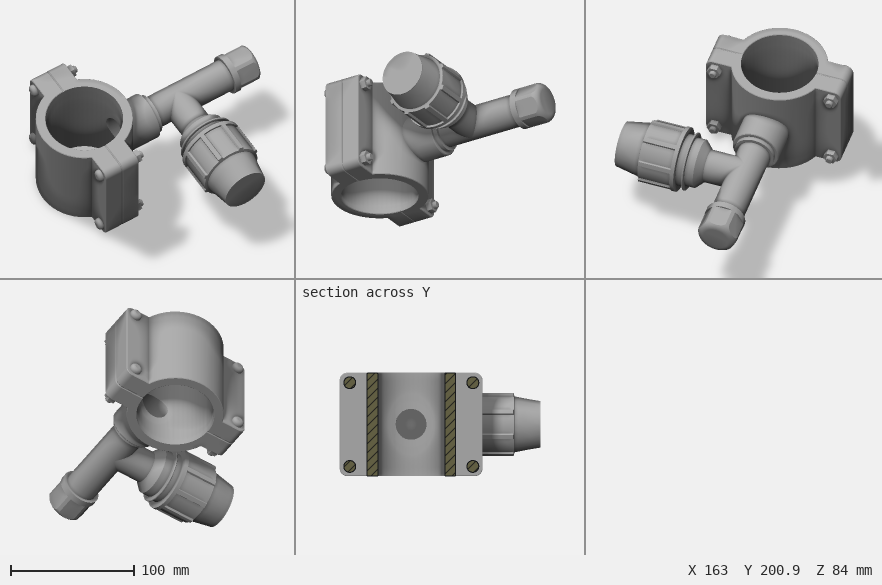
import cadquery as cq
import math

clamp_height = 84.0
bore_radius = 31.5
ring_radius = 39.5
clamp_width = 116.0
lug_half_depth = 15.75
lug_corner_radius = 6.0
edge_break = 0.5
joint_gap = 0.6

bolt_x = 50.0
bolt_z = 34.0
bolt_diameter = 6.0
bolt_end_y = 23.7
bolt_end_chamfer = 0.6
bolt_head_diameter = 10.0
bolt_head_rim = 0.9
bolt_head_height = 4.1
bolt_head_flat_radius = 2.3
nut_across_flats = 10.0
nut_height = 4.8

saddle_diameter = 39.38
saddle_end_y = 60.9
saddle_chamfer = 0.6
outlet_diameter = 25.0
collar_diameter = 33.32
collar_end_y = 64.4
pipe_diameter = 27.26
cap_start_y = 135.3
cap_hex_start_y = 140.5
cap_end_y = 161.38
cap_across_flats = 30.29
cap_edge_radius = 6.0

branch_y = 88.35
cone_start_x = 31.1
body_diameter = 40.5
body_start_x = 37.7
stop_ring_diameter = 48.6
stop_ring_start_x = 45.0
stop_ring_end_x = 46.5
stop_ring_chamfer = 0.4
neck_diameter = 43.2
nut_flange_diameter = 54.0
nut_flange_start_x = 52.2
nut_flange_end_x = 55.5
nut_grip_diameter = 50.4
nut_grip_end_x = 83.0
nut_cone_start_x = 84.0
nut_cone_diameter = 45.6
nut_tip_diameter = 38.0
nut_tip_land = 0.6
branch_end_x = 105.0
grip_rib_count = 8
grip_rib_width = 2.8
grip_rib_base_width = 4.6


def along_y(x, y, z):
    """Workplane at (x, y, z) whose normal is +Y."""
    return cq.Workplane(cq.Plane(origin=(x, y, z), xDir=(1, 0, 0), normal=(0, 1, 0)))


def along_x(x):
    """Workplane on the branch axis whose normal is +X."""
    return cq.Workplane(cq.Plane(origin=(x, branch_y, 0), xDir=(0, 1, 0), normal=(1, 0, 0)))


def clamp_bore(rim_break=0):
    """Through bore of the clamp along Z, flared at both rims when rim_break is positive."""
    half_height = clamp_height / 2
    bore = cq.Workplane("XY").circle(bore_radius).extrude(half_height, both=True)
    if rim_break > 0:
        rim_radius = bore_radius + rim_break
        flare = cq.Solid.makeCone(bore_radius, rim_radius, rim_break, cq.Vector(0, 0, half_height - rim_break))
        bore = bore.union(flare).union(flare.mirror("XY"))
    return bore


def clamp_half(side):
    """Half ring with its two lugs, on the +Y (side=1) or -Y (side=-1) side of the joint."""
    lugs = (
        cq.Workplane("XY")
        .box(clamp_width, 2 * lug_half_depth, clamp_height)
        .edges("|Y")
        .fillet(lug_corner_radius)
    )
    ring = cq.Workplane("XY").circle(ring_radius).extrude(clamp_height / 2, both=True)
    keep = (
        cq.Workplane("XY")
        .box(2 * clamp_width, 2 * ring_radius, 2 * clamp_height)
        .translate((0, side * (ring_radius + joint_gap / 2), 0))
    )
    half = lugs.union(ring).intersect(keep)
    joint_direction = "<Y" if side > 0 else ">Y"
    half = half.faces(joint_direction).chamfer(edge_break)
    half = half.edges(outer_clamp_edges(side)).chamfer(edge_break)
    rim_break = edge_break if side < 0 else 0
    return half.cut(clamp_bore(rim_break))


def outer_clamp_edges(side):
    """Box selector for the rims of the ring and the edges of the lug faces away from the joint."""
    reach = 2 * clamp_width
    near_y = side * (lug_half_depth - edge_break)
    far_y = side * (ring_radius + edge_break)
    outer_edges = cq.selectors.BoxSelector((-reach, near_y, -reach), (reach, far_y, reach))
    inner_corners = cq.selectors.BoxSelector(
        (-ring_radius, near_y, -edge_break), (ring_radius, far_y, edge_break)
    )
    return outer_edges - inner_corners


def joint_core():
    """Thin core that fills the joint, set back to the foot of the edge breaks."""
    core_width = clamp_width - 2 * edge_break
    core_height = clamp_height - 2 * edge_break
    core = (
        cq.Workplane("XY")
        .box(core_width, joint_gap, core_height)
        .edges("|Y")
        .fillet(lug_corner_radius - edge_break)
    )
    return core.cut(clamp_bore())


def clamp():
    """Both clamp halves joined across the core."""
    return clamp_half(1).union(joint_core()).union(clamp_half(-1))


def clamp_bolt(x, z):
    """Dome-head bolt with its head on the -Y side and a hexagonal nut on the +Y side."""
    head_end_y = -lug_half_depth - bolt_head_height
    shank = (
        along_y(x, -lug_half_depth, z)
        .circle(bolt_diameter / 2)
        .extrude(bolt_end_y + lug_half_depth)
        .faces(">Y")
        .chamfer(bolt_end_chamfer)
    )
    head_radius = bolt_head_diameter / 2
    crown_height = bolt_head_height - bolt_head_rim
    rim_y = -lug_half_depth - bolt_head_rim
    crown_width = head_radius - bolt_head_flat_radius
    crown_mid_radius = bolt_head_flat_radius + crown_width * math.sqrt(0.5)
    crown_mid_y = rim_y - crown_height * math.sqrt(0.5)
    head = (
        cq.Workplane("XY")
        .moveTo(0, -lug_half_depth)
        .lineTo(head_radius, -lug_half_depth)
        .lineTo(head_radius, rim_y)
        .threePointArc((crown_mid_radius, crown_mid_y), (bolt_head_flat_radius, head_end_y))
        .lineTo(0, head_end_y)
        .close()
        .revolve(360, (0, 0, 0), (0, 1, 0))
        .translate((x, 0, z))
    )
    nut_across_corners = nut_across_flats / math.cos(math.pi / 6)
    nut = along_y(x, lug_half_depth, z).polygon(6, nut_across_corners).extrude(nut_height)
    return shank.union(head).union(nut)


def run_pipe():
    """Saddle, collar and pipe on one axis along +Y."""
    saddle = along_y(0, 0, 0).circle(saddle_diameter / 2).extrude(saddle_end_y)
    saddle = saddle.faces(">Y").chamfer(saddle_chamfer)
    collar = along_y(0, 0, 0).circle(collar_diameter / 2).extrude(collar_end_y)
    pipe = along_y(0, 0, 0).circle(pipe_diameter / 2).extrude(cap_start_y)
    return saddle.union(collar).union(pipe)


def end_cap():
    """Round cap with a rounded end, trimmed to a hexagon beyond its rim."""
    cap = (
        along_y(0, cap_start_y, 0)
        .circle(collar_diameter / 2)
        .extrude(cap_end_y - cap_start_y)
        .faces(">Y")
        .edges()
        .fillet(cap_edge_radius)
    )
    hex_length = cap_end_y - cap_hex_start_y
    across_corners = cap_across_flats / math.cos(math.pi / 6)
    trim = (
        along_y(0, cap_hex_start_y, 0)
        .circle(collar_diameter)
        .polygon(6, across_corners)
        .extrude(hex_length)
    )
    return cap.cut(trim)


def turned_about_x(profile):
    """Solid of revolution about the branch axis from (x, radius) points."""
    solid = cq.Workplane("XY").polyline(profile).close().revolve(360, (0, 0, 0), (1, 0, 0))
    return solid.translate((0, branch_y, 0))


def branch():
    """Branch pipe and compression coupling, with the grip ribs."""
    pipe_radius = pipe_diameter / 2
    body_radius = body_diameter / 2
    neck_radius = neck_diameter / 2
    ring_rim_radius = stop_ring_diameter / 2
    ring_face_radius = ring_rim_radius - stop_ring_chamfer
    flange_radius = nut_flange_diameter / 2
    grip_radius = nut_grip_diameter / 2
    tip_radius = nut_tip_diameter / 2
    turned = turned_about_x([
        (0, 0),
        (0, pipe_radius),
        (cone_start_x, pipe_radius),
        (body_start_x, body_radius),
        (stop_ring_start_x, body_radius),
        (stop_ring_start_x, ring_face_radius),
        (stop_ring_start_x + stop_ring_chamfer, ring_rim_radius),
        (stop_ring_end_x - stop_ring_chamfer, ring_rim_radius),
        (stop_ring_end_x, ring_face_radius),
        (stop_ring_end_x, neck_radius),
        (nut_flange_start_x, neck_radius),
        (nut_flange_start_x, flange_radius),
        (nut_flange_end_x, flange_radius),
        (nut_flange_end_x, grip_radius),
        (nut_cone_start_x, grip_radius),
        (nut_cone_start_x, nut_cone_diameter / 2),
        (branch_end_x - nut_tip_land, tip_radius),
        (branch_end_x, tip_radius),
        (branch_end_x, 0),
    ])
    rib_envelope = turned_about_x([
        (nut_flange_end_x, 0),
        (nut_flange_end_x, flange_radius),
        (nut_grip_end_x, flange_radius),
        (nut_cone_start_x, nut_cone_diameter / 2),
        (nut_cone_start_x, 0),
    ])
    nut_room = along_x(nut_grip_end_x).circle(flange_radius).extrude(nut_cone_start_x - nut_grip_end_x)
    shoulder_trim = nut_room.cut(rib_envelope)
    return turned.cut(shoulder_trim).union(grip_ribs().intersect(rib_envelope))


def grip_ribs():
    """Tapered ribs around the coupling nut, wider at the foot than at the crest."""
    crest_half = grip_rib_width / 2
    foot_half = grip_rib_base_width / 2
    foot_radius = nut_grip_diameter / 2
    crest_radius = nut_flange_diameter / 2 + grip_rib_width / 2
    inner_radius = pipe_diameter / 2
    rib_profile = [
        (inner_radius, -foot_half),
        (foot_radius, -foot_half),
        (crest_radius, -crest_half),
        (crest_radius, crest_half),
        (foot_radius, foot_half),
        (inner_radius, foot_half),
    ]
    ribs = cq.Workplane("XY")
    for index in range(grip_rib_count):
        angle = (index + 0.5) * 360 / grip_rib_count
        rib = (
            along_x(nut_flange_end_x)
            .transformed(rotate=(0, 0, angle))
            .polyline(rib_profile)
            .close()
            .extrude(nut_cone_start_x - nut_flange_end_x)
        )
        ribs = ribs.union(rib)
    return ribs


def outlet_hole():
    """Hole from the clamp bore into the saddle."""
    return along_y(0, 0, 0).circle(outlet_diameter / 2).extrude(saddle_end_y)


result = clamp().union(run_pipe()).union(end_cap()).union(branch())
result = result.cut(clamp_bore()).cut(outlet_hole())
for bolt_side_x in (-bolt_x, bolt_x):
    for bolt_side_z in (-bolt_z, bolt_z):
        result = result.union(clamp_bolt(bolt_side_x, bolt_side_z))